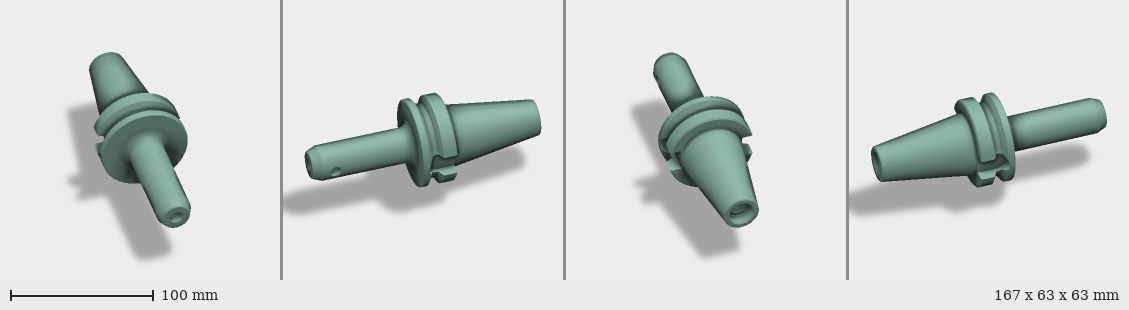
import cadquery as cq
import math

length = 167.0
taper_end = 65.5
flange_start = 67.1
v_groove_start = 77.2
v_floor_start = 79.7
v_floor_end = 84.2
v_groove_end = 87.3
flange_end = 92.4
nose_start = 160.0

taper_large_diameter = 44.6
taper_ratio = 7 / 24
relief_diameter = 44.0
flange_diameter = 63.0
v_floor_diameter = 53.1
v_foot_diameter = 53.8
shank_diameter = 25.4
nose_diameter = 20.0

taper_edge_depth = 0.7
taper_edge_length = 0.7
flange_chamfer = 1.0
flange_rounding = 1.0
relief_ramp = 0.5
root_radius = 6.2
nose_chamfer = 0.7
nose_rounding = 1.7

slot_width = 16.4
slot_end = 88.3
slot_floor = 22.2

through_diameter = 9.5
mouth_diameter = 18.9
counterbore_diameter = 17.0
counterbore_depth = 9.2
mouth_chamfer = (mouth_diameter - counterbore_diameter) / 2
ring_diameter = 17.5
ring_start = 6.0
ring_width = 0.8
thread_bore_diameter = 13.9
thread_bore_end = 33.4
drill_point_angle = 118.0

screw_diameter = 8.0
screw_position = 151.0


def revolve_about_x(profile):
    return profile.close().revolve(360, (0, 0, 0), (1, 0, 0))


def make_body():
    taper_small_diameter = taper_large_diameter - taper_ratio * taper_end
    taper_small_radius = taper_small_diameter / 2
    edge_radius = taper_small_radius + taper_ratio / 2 * taper_edge_length
    flange_radius = flange_diameter / 2
    shank_radius = shank_diameter / 2
    nose_radius = nose_diameter / 2
    diagonal = root_radius * math.sqrt(0.5)
    root_center_x = flange_end + root_radius
    root_center_r = shank_radius + root_radius
    profile = (
        cq.Workplane("XY")
        .lineTo(0, taper_small_radius - taper_edge_depth)
        .lineTo(taper_edge_length, edge_radius)
        .lineTo(taper_end, taper_large_diameter / 2)
        .lineTo(taper_end + relief_ramp, relief_diameter / 2)
        .lineTo(flange_start - relief_ramp, relief_diameter / 2)
        .lineTo(flange_start, relief_diameter / 2 + relief_ramp)
        .lineTo(flange_start, flange_radius - flange_chamfer)
        .lineTo(flange_start + flange_chamfer, flange_radius)
        .lineTo(v_groove_start, flange_radius)
        .lineTo(v_floor_start, v_foot_diameter / 2)
        .lineTo(v_floor_start, v_floor_diameter / 2)
        .lineTo(v_floor_end, v_floor_diameter / 2)
        .lineTo(v_floor_end, v_foot_diameter / 2)
        .lineTo(v_groove_end, flange_radius)
        .lineTo(flange_end - flange_rounding, flange_radius)
        .radiusArc((flange_end, flange_radius - flange_rounding), flange_rounding)
        .lineTo(flange_end, root_center_r)
        .threePointArc(
            (root_center_x - diagonal, root_center_r - diagonal),
            (root_center_x, shank_radius),
        )
        .lineTo(nose_start, shank_radius)
        .lineTo(length - nose_chamfer, nose_radius)
        .lineTo(length, nose_radius - nose_chamfer)
        .lineTo(length, 0)
    )
    body = revolve_about_x(profile)
    shank_end = cq.selectors.BoxSelector(
        (nose_start - nose_chamfer, -shank_radius, -shank_radius),
        (nose_start + nose_chamfer, shank_radius, shank_radius),
    )
    return body.edges(shank_end).fillet(nose_rounding)


def make_bore():
    through_radius = through_diameter / 2
    thread_radius = thread_bore_diameter / 2
    counterbore_radius = counterbore_diameter / 2
    ring_end = ring_start + ring_width
    cone_length = (thread_radius - through_radius) / math.tan(math.radians(drill_point_angle / 2))
    profile = (
        cq.Workplane("XY")
        .lineTo(0, mouth_diameter / 2)
        .lineTo(mouth_chamfer, counterbore_radius)
        .lineTo(ring_start, counterbore_radius)
        .lineTo(ring_start, ring_diameter / 2)
        .lineTo(ring_end, ring_diameter / 2)
        .lineTo(ring_end, counterbore_radius)
        .lineTo(counterbore_depth, counterbore_radius)
        .lineTo(counterbore_depth, thread_radius)
        .lineTo(thread_bore_end, thread_radius)
        .lineTo(thread_bore_end + cone_length, through_radius)
        .lineTo(length, through_radius)
        .lineTo(length, 0)
    )
    return revolve_about_x(profile)


def make_drive_slot(side):
    """Round-ended slot cut into the flange; side is +1 for +Y and -1 for -Y."""
    end_center = slot_end - slot_width / 2
    half_width = slot_width / 2
    return (
        cq.Workplane("XZ", origin=(0, side * slot_floor, 0))
        .moveTo(flange_start, -half_width)
        .lineTo(end_center, -half_width)
        .threePointArc((slot_end, 0), (end_center, half_width))
        .lineTo(flange_start, half_width)
        .close()
        .extrude(-side * flange_diameter / 2)
    )


def make_screw_hole():
    """Radial hole from the bore out through the +Y side of the shank."""
    return (
        cq.Workplane("XZ", origin=(screw_position, 0, 0))
        .circle(screw_diameter / 2)
        .extrude(-shank_diameter)
    )


result = make_body().cut(make_bore()).cut(make_screw_hole())
for slot_side in (1, -1):
    result = result.cut(make_drive_slot(slot_side))